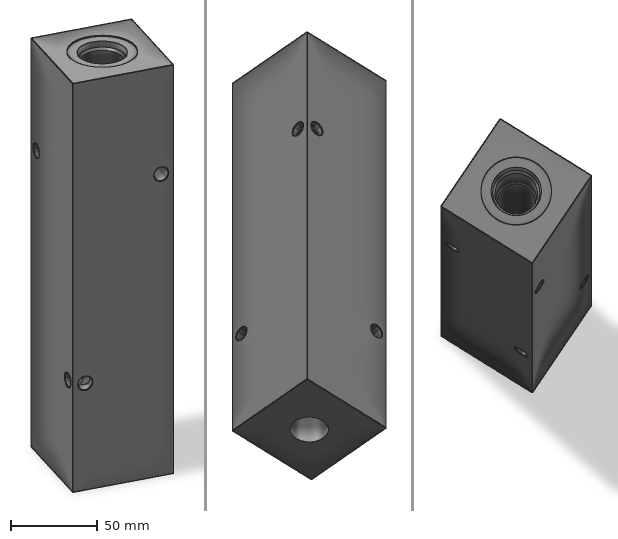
import cadquery as cq
import math

SIDE = 63.5
HEIGHT = 266.7
EDGE_CHAMFER = 0.25

BORE_DIAMETER = 22.2
SPOTFACE_DIAMETER = 41.0
SPOTFACE_DEPTH = 0.8
SEAT_TOP_DIAMETER = 29.2
SEAT_DEPTH = 3.5
SEAT_BOTTOM_DIAMETER = 27.4
THREAD_DIAMETER = 24.6
THREAD_BOTTOM_DEPTH = 23.0
DRILL_POINT_ANGLE = 118.0

CROSS_HOLE_DIAMETER = 8.7
COUNTERSINK_DIAMETER = 9.5
CROSS_HOLE_OFFSET = 23.9
CROSS_HOLE_SPACING = 127.0

FULL_TURN = 360
QUARTER_TURN = 90


def make_port_cutter():
    """Revolved void of the through bore with its stepped port at the top end."""
    top = HEIGHT / 2
    spotface_floor = top - SPOTFACE_DEPTH
    seat_bottom = spotface_floor - SEAT_DEPTH
    lead_in_bottom = seat_bottom - (SEAT_BOTTOM_DIAMETER - THREAD_DIAMETER) / 2
    thread_bottom = top - THREAD_BOTTOM_DEPTH
    point_step = (THREAD_DIAMETER - BORE_DIAMETER) / 2
    point_bottom = thread_bottom - point_step / math.tan(math.radians(DRILL_POINT_ANGLE / 2))
    profile = (
        cq.Workplane("XZ")
        .moveTo(0, top)
        .lineTo(SPOTFACE_DIAMETER / 2, top)
        .lineTo(SPOTFACE_DIAMETER / 2, spotface_floor)
        .lineTo(SEAT_TOP_DIAMETER / 2, spotface_floor)
        .lineTo(SEAT_BOTTOM_DIAMETER / 2, seat_bottom)
        .lineTo(THREAD_DIAMETER / 2, lead_in_bottom)
        .lineTo(THREAD_DIAMETER / 2, thread_bottom)
        .lineTo(BORE_DIAMETER / 2, point_bottom)
        .lineTo(BORE_DIAMETER / 2, -top)
        .lineTo(0, -top)
        .close()
    )
    return profile.revolve(FULL_TURN, (0, 0, 0), (0, 1, 0))


def make_cross_hole_cutter(offset, height):
    """Hole through the block along Y at x = offset, countersunk at both faces."""
    hole_radius = CROSS_HOLE_DIAMETER / 2
    mouth_radius = COUNTERSINK_DIAMETER / 2
    countersink_depth = mouth_radius - hole_radius
    half = SIDE / 2
    profile = (
        cq.Workplane("XY")
        .moveTo(0, -half)
        .lineTo(mouth_radius, -half)
        .lineTo(hole_radius, -half + countersink_depth)
        .lineTo(hole_radius, half - countersink_depth)
        .lineTo(mouth_radius, half)
        .lineTo(0, half)
        .close()
    )
    hole = profile.revolve(FULL_TURN, (0, 0, 0), (0, 1, 0))
    return hole.translate((offset, 0, height))


result = cq.Workplane("XY").box(SIDE, SIDE, HEIGHT)
result = result.edges().chamfer(EDGE_CHAMFER)
result = result.cut(make_port_cutter())

for level in (1, -1):
    cross_hole = make_cross_hole_cutter(-level * CROSS_HOLE_OFFSET, level * CROSS_HOLE_SPACING / 2)
    result = result.cut(cross_hole)
    result = result.cut(cross_hole.rotate((0, 0, 0), (0, 0, 1), -QUARTER_TURN))